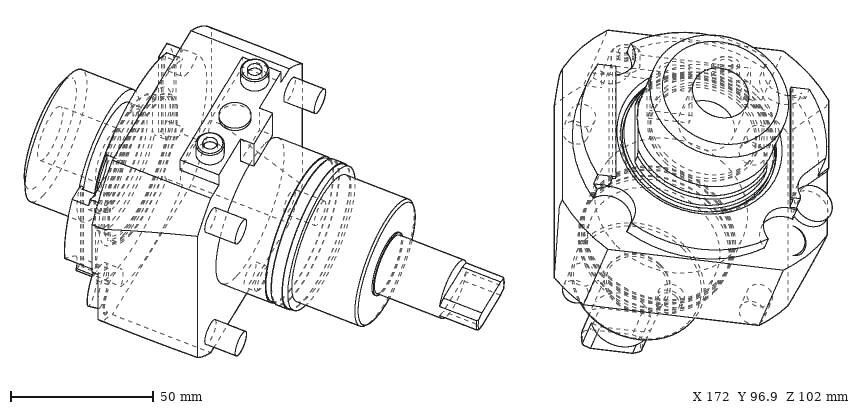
import cadquery as cq
import math

LENGTH = 172.0
AXIS_DIRECTION = cq.Vector(1, 0, 0)

NUT_RADIUS = 25.0
NUT_LENGTH = 22.5
NUT_FACE_RADIUS = 21.0
NUT_CHAMFER_LENGTH = 2.2
BORE_RADIUS = 10.2
NECK_RADIUS = 20.1
NECK_END = 26.8
NECK_GROOVE_RADIUS = 19.1

COLLAR_FRONT = 28.5
COLLAR_RADIUS = 26.0
COLLAR_CHAMFER = 0.9
COLLAR_FLAT_WIDTH = 46.5
SEAT_RING_FRONT = 33.7
SEAT_RING_RADIUS = 27.2
RECESS_MOUTH_RADIUS = 29.8
RECESS_FLOOR_RADIUS = 28.0
RECESS_CONE_DEPTH = 1.4
RECESS_DEPTH = 2.8

FLANGE_FRONT = 33.4
FLANGE_RADIUS = 44.4
TAB_FRONT = 27.0
TAB_INNER_Y = 32.5
TAB_LIP_Y = 31.5
TAB_LIP_LENGTH = 1.2
TAB_HEIGHT = 45.5
SCALLOP_RADIUS = 8.6
SCALLOP_OFFSET = 31.7

BODY_FRONT = 39.5
BODY_BACK = 78.0
BODY_HALF_HEIGHT = 45.0
BODY_HALF_WIDTH = 48.0
BODY_BACK_HALF_WIDTH = 42.2
TAPER_START = 44.2
BODY_CORNER_RADIUS = 55.0

BOLT_RADIUS = 4.6
BOLT_END = 89.8
BOLT_Y = 31.8
BOLT_Z = 32.7
PIN_RADIUS = 4.8
PIN_END = 82.8
PIN_BOTTOM = -42.0
PIN_CHAMFER = 0.7

SHANK_RADIUS = 27.5
SEAL_GROOVE_START = 97.2
SEAL_GROOVE_END = 99.5
SEAL_GROOVE_RADIUS = 27.0
SEAL_BAND_END = 103.8
SHANK_END = 105.8
SHANK_END_RADIUS = 27.2
REAR_RADIUS = 24.0
REAR_END = 131.3
REAR_CHAMFER = 0.9
HUB_RADIUS = 11.9
HUB_END = 131.8
SHAFT_RADIUS = 11.0
TANG_START = 157.1
TANG_THICKNESS = 7.7
TANG_FACE_WIDTH = 15.1
TANG_EDGE_THICKNESS = 5.2
TANG_TIP_CHAMFER = 0.5

PLATE_FRONT = 62.8
PLATE_WIDTH = 50.2
PLATE_TOP = 51.0
TONGUE_END = 83.1
TONGUE_WIDTH = 15.1
TONGUE_BOTTOM = 38.0
SCREW_X = 71.0
SCREW_SPACING = 36.0
SCREW_RADIUS = 5.0
SCREW_TOP = 57.0
SCREW_CHAMFER = 0.5
SOCKET_RADIUS = 2.5
SOCKET_DEPTH = 2.5
SOCKET_TIP_DEPTH = 4.1
BUTTON_X = 72.1
BUTTON_RADIUS = 5.7
BUTTON_TOP = 52.3

SIDE_LEAN = math.atan2(BODY_HALF_WIDTH - BODY_BACK_HALF_WIDTH, BODY_BACK - TAPER_START)
POCKET_SIDE_DEPTH = 2.2
POCKET_WALL_Y = -35.0
POCKET_SLOPE_ANGLE = math.radians(45)
POCKET_ROUND_RADIUS = 7.7
NOZZLE_X = 36.8
NOZZLE_Y = -41.8
NOZZLE_Z = -17.9
NOZZLE_RADIUS = 7.2
NOZZLE_LENGTH = 4.0
HEAD_Y = -32.9
HEAD_Z = -32.5
HEAD_RADIUS = 7.0
HEAD_CHAMFER = 0.5


def rod(start, end, radius, y=0.0, z=0.0):
    """Cylinder along X between two stations."""
    solid = cq.Solid.makeCylinder(radius, end - start, cq.Vector(start, y, z), AXIS_DIRECTION)
    return cq.Workplane(obj=solid)


def block(start, end, y_min, y_max, z_min, z_max):
    """Box given by its limits along X, Y and Z."""
    corner = cq.Vector(start, y_min, z_min)
    return cq.Workplane(obj=cq.Solid.makeBox(end - start, y_max - y_min, z_max - z_min, corner))


def post(x, y, bottom, top, radius):
    """Upright cylinder."""
    return cq.Workplane(obj=cq.Solid.makeCylinder(radius, top - bottom, cq.Vector(x, y, bottom)))


def make_body():
    outline = [
        (BODY_FRONT, BODY_HALF_WIDTH),
        (TAPER_START, BODY_HALF_WIDTH),
        (BODY_BACK, BODY_BACK_HALF_WIDTH),
        (BODY_BACK, -BODY_BACK_HALF_WIDTH),
        (TAPER_START, -BODY_HALF_WIDTH),
        (BODY_FRONT, -BODY_HALF_WIDTH),
    ]
    wedge = cq.Workplane("XY").polyline(outline).close().extrude(BODY_HALF_HEIGHT, both=True)
    return wedge.intersect(rod(BODY_FRONT, BODY_BACK, BODY_CORNER_RADIUS))


def make_flange():
    flange = rod(FLANGE_FRONT, BODY_FRONT, FLANGE_RADIUS)
    for y in (SCALLOP_OFFSET, -SCALLOP_OFFSET):
        for z in (SCALLOP_OFFSET, -SCALLOP_OFFSET):
            flange = flange.cut(rod(FLANGE_FRONT, BODY_FRONT, SCALLOP_RADIUS, y, z))
    half = TAB_HEIGHT / 2
    ring = rod(TAB_FRONT, BODY_FRONT, FLANGE_RADIUS)
    stem = block(TAB_FRONT, BODY_FRONT, -FLANGE_RADIUS, -TAB_INNER_Y, -half, half)
    lip = block(TAB_FRONT, TAB_FRONT + TAB_LIP_LENGTH, -FLANGE_RADIUS, -TAB_LIP_Y, -half, half)
    right_tab = ring.intersect(stem.union(lip))
    left_tab = right_tab.mirror("XZ")
    return flange.union(right_tab).union(left_tab)


def make_recess():
    floor = FLANGE_FRONT + RECESS_DEPTH
    profile = [
        (FLANGE_FRONT, 0),
        (FLANGE_FRONT, RECESS_MOUTH_RADIUS),
        (FLANGE_FRONT + RECESS_CONE_DEPTH, RECESS_FLOOR_RADIUS),
        (floor, RECESS_FLOOR_RADIUS),
        (floor, 0),
    ]
    return cq.Workplane("XY").polyline(profile).close().revolve(360, (0, 0, 0), (1, 0, 0))


def pocket_floor_x(y):
    """The pocket floor leans so that it is square to the tapered side."""
    return BODY_FRONT + POCKET_SIDE_DEPTH - (y + BODY_HALF_WIDTH) * math.tan(SIDE_LEAN)


def make_pocket():
    """Corner pocket around the nozzle, open at the front, the side and the bottom."""
    outer_y = -BODY_CORNER_RADIUS
    tangent_y = NOZZLE_Y + POCKET_ROUND_RADIUS * math.sin(POCKET_SLOPE_ANGLE)
    tangent_z = NOZZLE_Z + POCKET_ROUND_RADIUS * math.cos(POCKET_SLOPE_ANGLE)
    slope_end_z = tangent_z + (tangent_y - outer_y) * math.tan(POCKET_SLOPE_ANGLE)
    wall_top_z = NOZZLE_Z - math.sqrt(POCKET_ROUND_RADIUS**2 - (POCKET_WALL_Y - NOZZLE_Y) ** 2)
    prism = (
        cq.Workplane("YZ", origin=(TAB_FRONT, 0, 0))
        .moveTo(outer_y, slope_end_z)
        .lineTo(tangent_y, tangent_z)
        .threePointArc((NOZZLE_Y + POCKET_ROUND_RADIUS, NOZZLE_Z), (POCKET_WALL_Y, wall_top_z))
        .lineTo(POCKET_WALL_Y, -BODY_CORNER_RADIUS)
        .lineTo(outer_y, -BODY_CORNER_RADIUS)
        .close()
        .extrude(BODY_BACK - TAB_FRONT)
    )
    above_floor = [
        (TAB_FRONT, 0),
        (pocket_floor_x(0), 0),
        (pocket_floor_x(outer_y), outer_y),
        (TAB_FRONT, outer_y),
    ]
    space = cq.Workplane("XY").polyline(above_floor).close().extrude(BODY_CORNER_RADIUS, both=True)
    return prism.intersect(space)


def make_nozzle():
    """Nozzle standing square on the pocket floor."""
    direction = cq.Vector(math.cos(SIDE_LEAN), math.sin(SIDE_LEAN), 0)
    face_center = cq.Vector(NOZZLE_X, NOZZLE_Y, NOZZLE_Z)
    return cq.Workplane(obj=cq.Solid.makeCylinder(NOZZLE_RADIUS, NOZZLE_LENGTH, face_center, direction))


def make_sunk_head():
    """Screw head level with the housing front, showing only inside the pocket."""
    head_end = BODY_FRONT + POCKET_SIDE_DEPTH
    return rod(BODY_FRONT, head_end, HEAD_RADIUS, HEAD_Y, HEAD_Z).faces("<X").chamfer(HEAD_CHAMFER)


def make_nose():
    profile = [
        (0, 0),
        (0, NUT_FACE_RADIUS),
        (NUT_CHAMFER_LENGTH, NUT_RADIUS),
        (NUT_LENGTH, NUT_RADIUS),
        (NUT_LENGTH, NECK_RADIUS),
        (NECK_END, NECK_RADIUS),
        (NECK_END, NECK_GROOVE_RADIUS),
        (BODY_FRONT, NECK_GROOVE_RADIUS),
        (BODY_FRONT, 0),
    ]
    nose = cq.Workplane("XY").polyline(profile).close().revolve(360, (0, 0, 0), (1, 0, 0))
    half_flat = COLLAR_FLAT_WIDTH / 2
    flats = block(COLLAR_FRONT, BODY_FRONT, -half_flat, half_flat, -COLLAR_RADIUS, COLLAR_RADIUS)
    collar = rod(COLLAR_FRONT, BODY_FRONT, COLLAR_RADIUS).faces("<X").chamfer(COLLAR_CHAMFER)
    collar = collar.intersect(flats)
    seat_ring = rod(SEAT_RING_FRONT, BODY_FRONT, SEAT_RING_RADIUS)
    return nose.union(collar).union(seat_ring).cut(rod(0, NUT_LENGTH, BORE_RADIUS))


def make_shank():
    profile = [
        (BODY_BACK, 0),
        (BODY_BACK, SHANK_RADIUS),
        (SEAL_GROOVE_START, SHANK_RADIUS),
        (SEAL_GROOVE_START, SEAL_GROOVE_RADIUS),
        (SEAL_GROOVE_END, SEAL_GROOVE_RADIUS),
        (SEAL_GROOVE_END, SHANK_RADIUS),
        (SEAL_BAND_END, SHANK_RADIUS),
        (SEAL_BAND_END, SHANK_END_RADIUS),
        (SHANK_END, SHANK_END_RADIUS),
        (SHANK_END, REAR_RADIUS),
        (REAR_END - REAR_CHAMFER, REAR_RADIUS),
        (REAR_END, REAR_RADIUS - REAR_CHAMFER),
        (REAR_END, HUB_RADIUS),
        (HUB_END, HUB_RADIUS),
        (HUB_END, SHAFT_RADIUS),
        (TANG_START, SHAFT_RADIUS),
        (TANG_START, 0),
    ]
    return cq.Workplane("XY").polyline(profile).close().revolve(360, (0, 0, 0), (1, 0, 0))


def make_tang():
    """Flat drive tang, thinned towards its two side edges."""
    face = TANG_FACE_WIDTH / 2
    thick = TANG_THICKNESS / 2
    thin = TANG_EDGE_THICKNESS / 2
    section = [
        (-SHAFT_RADIUS, -thin),
        (-face, -thick),
        (face, -thick),
        (SHAFT_RADIUS, -thin),
        (SHAFT_RADIUS, thin),
        (face, thick),
        (-face, thick),
        (-SHAFT_RADIUS, thin),
    ]
    sketch = cq.Workplane("YZ", origin=(TANG_START, 0, 0)).polyline(section).close()
    bar = sketch.extrude(LENGTH - TANG_START)
    tip = rod(TANG_START, LENGTH, SHAFT_RADIUS).faces(">X").chamfer(TANG_TIP_CHAMFER)
    return bar.intersect(tip)


def make_socket(y):
    """Round socket with a pointed bottom for a plate screw."""
    profile = [
        (0, SCREW_TOP),
        (SOCKET_RADIUS, SCREW_TOP),
        (SOCKET_RADIUS, SCREW_TOP - SOCKET_DEPTH),
        (0, SCREW_TOP - SOCKET_TIP_DEPTH),
    ]
    sketch = cq.Workplane("XZ", origin=(SCREW_X, y, 0)).polyline(profile).close()
    return sketch.revolve(360, (0, 0, 0), (0, 1, 0))


def make_plate():
    half_plate = PLATE_WIDTH / 2
    half_tongue = TONGUE_WIDTH / 2
    plate = block(PLATE_FRONT, BODY_BACK, -half_plate, half_plate, BODY_HALF_HEIGHT, PLATE_TOP)
    tongue = block(BODY_BACK, TONGUE_END, -half_tongue, half_tongue, TONGUE_BOTTOM, PLATE_TOP)
    plate = plate.union(tongue).union(post(BUTTON_X, 0, PLATE_TOP, BUTTON_TOP, BUTTON_RADIUS))
    for y in (-SCREW_SPACING / 2, SCREW_SPACING / 2):
        screw = post(SCREW_X, y, PLATE_TOP, SCREW_TOP, SCREW_RADIUS).faces(">Z").chamfer(SCREW_CHAMFER)
        plate = plate.union(screw.cut(make_socket(y)))
    return plate


def make_rear_fasteners():
    pin = rod(BODY_BACK, PIN_END, PIN_RADIUS, 0, PIN_BOTTOM + PIN_RADIUS)
    fasteners = pin.faces(">X").chamfer(PIN_CHAMFER)
    for y in (-BOLT_Y, BOLT_Y):
        for z in (-BOLT_Z, BOLT_Z):
            fasteners = fasteners.union(rod(BODY_BACK, BOLT_END, BOLT_RADIUS, y, z))
    return fasteners


housing = make_body().union(make_flange()).cut(make_recess()).cut(make_pocket())
result = housing.union(make_nose()).union(make_shank()).union(make_tang())
result = result.union(make_nozzle()).union(make_sunk_head())
result = result.union(make_plate()).union(make_rear_fasteners())